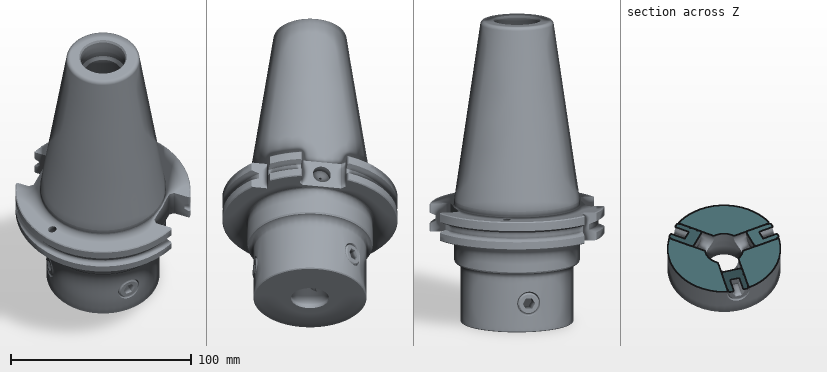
import cadquery as cq
import math

total_height = 170.6
gauge_z = 69.1
flange_top_z = 66.0
flange_bottom_z = 50.2
collar_bottom_z = 34.8

gauge_radius = 69.8 / 2
taper_slope = 7 / 48
taper_tip_radius = gauge_radius - (total_height - gauge_z) * taper_slope
tip_fillet = 2.2
flange_radius = 97.4 / 2
flange_chamfer = 0.5
flange_top_root_fillet = 0.7
flange_bottom_root_fillet = 0.9
collar_chamfer_width = 0.5
collar_chamfer_height = 0.9
shank_radius = 63.0 / 2
shank_chamfer = 0.5

groove_z = 57.8
groove_floor_radius = 45.4
groove_floor_width = 3.2
groove_mouth_width = 6.3

bore_radius = 10.5
relief_radius = 12.6
relief_end_depth = 12.0
bore_cone_depth = 13.0
counterbore_radius = 12.5
counterbore_depth = 8.5
mouth_chamfer_width = 0.7
mouth_chamfer_depth = 1.2

slot_width = 25.8
slot_floor_left = 37.2
slot_floor_right = 35.3
slot_corner_chamfer = 2.0
slot_edge_chamfer = 0.9
notch_x = -30.0
notch_y = 29.5

recess_z = (flange_top_z + flange_bottom_z) / 2
recess_diameter = 10.0
recess_depth = 4.6
recess_pilot_diameter = 1.4
recess_pilot_depth = 1.7

coolant_diameter = 4.5
coolant_circle_radius = 41.8
coolant_azimuths = (70, 250)
coolant_tilt = 30
coolant_length = 34.1

screw_azimuths = (90, 220, 320)
screw_z = 16.2
screw_diameter = 12.0
screw_face_radius = 31.4
screw_length = 15.4
screw_chamfer = 0.7
socket_across_flats = 6.0
socket_depth = 8.5
countersink_diameter = 13.6
countersink_depth = 2.0

cut_clearance = 3.4


def turned_body():
    """Taper, flange, collar and shank as one revolved solid."""
    neck_radius = gauge_radius - collar_chamfer_width
    neck_fillet = neck_radius - shank_radius
    neck_top_z = collar_bottom_z - collar_chamfer_height
    neck_bottom_z = neck_top_z - neck_fillet
    arc_offset = neck_fillet * math.sqrt(0.5)
    neck_arc_middle = (neck_radius - arc_offset, neck_bottom_z + arc_offset)

    profile = (
        cq.Workplane("XZ")
        .moveTo(0, 0)
        .lineTo(shank_radius - shank_chamfer, 0)
        .lineTo(shank_radius, shank_chamfer)
        .lineTo(shank_radius, neck_bottom_z)
        .threePointArc(neck_arc_middle, (neck_radius, neck_top_z))
        .lineTo(gauge_radius, collar_bottom_z)
        .lineTo(gauge_radius, flange_bottom_z)
        .lineTo(flange_radius, flange_bottom_z)
        .lineTo(flange_radius, flange_top_z)
        .lineTo(gauge_radius, flange_top_z)
        .lineTo(gauge_radius, gauge_z)
        .lineTo(taper_tip_radius, total_height)
        .lineTo(0, total_height)
        .close()
    )
    body = profile.revolve(360, (0, 0, 0), (0, 1, 0))
    return round_turned_edges(body)


def circle_edges(body, radius, z):
    """The circular edges of a body with the given radius, centred on the axis at height z."""
    tolerance = 0.002

    def matches(edge):
        centred = (edge.Center() - cq.Vector(0, 0, z)).Length < tolerance
        return edge.geomType() == "CIRCLE" and centred and abs(edge.radius() - radius) < tolerance

    return body.edges().filter(matches)


def round_turned_edges(body):
    """Round the taper tip and the flange roots, and chamfer the flange rim."""
    body = circle_edges(body, taper_tip_radius, total_height).fillet(tip_fillet)
    flange_faces = (
        (flange_bottom_z, flange_bottom_root_fillet),
        (flange_top_z, flange_top_root_fillet),
    )
    for z, root_fillet in flange_faces:
        body = circle_edges(body, gauge_radius, z).fillet(root_fillet)
        body = circle_edges(body, flange_radius, z).chamfer(flange_chamfer)
    return body


def gripper_groove():
    """Ring with a trapezoidal section that cuts the groove in the flange rim."""
    half_floor = groove_floor_width / 2
    half_mouth = groove_mouth_width / 2
    section = cq.Workplane("XZ").polyline([
        (groove_floor_radius, groove_z - half_floor),
        (flange_radius, groove_z - half_mouth),
        (flange_radius + cut_clearance, groove_z - half_mouth),
        (flange_radius + cut_clearance, groove_z + half_mouth),
        (flange_radius, groove_z + half_mouth),
        (groove_floor_radius, groove_z + half_floor),
    ]).close()
    return section.revolve(360, (0, 0, 0), (0, 1, 0))


def stepped_bore():
    """Through bore with a conical seat, a slightly wider relief and a counterbore at the taper end."""
    section = cq.Workplane("XZ").polyline([
        (0, 0),
        (bore_radius, 0),
        (bore_radius, total_height - bore_cone_depth),
        (relief_radius, total_height - relief_end_depth),
        (relief_radius, total_height - counterbore_depth),
        (counterbore_radius, total_height - counterbore_depth),
        (counterbore_radius, total_height - mouth_chamfer_depth),
        (counterbore_radius + mouth_chamfer_width, total_height),
        (0, total_height),
    ]).close()
    return section.revolve(360, (0, 0, 0), (0, 1, 0))


def flange_prism(sketch):
    """Extrude a closed horizontal outline through the flange thickness."""
    return sketch.extrude(flange_top_z - flange_bottom_z)


def drive_slot(floor_distance):
    """Cutter for a drive slot on the +X side, with chamfered floor corners and chamfered mouth edges."""
    half_width = slot_width / 2
    rim_x = math.sqrt(flange_radius**2 - half_width**2)
    chamfer_start_x = rim_x - slot_edge_chamfer
    outside_x = flange_radius + cut_clearance
    outside_y = half_width + outside_x - chamfer_start_x
    plane = cq.Workplane("XY", origin=(0, 0, flange_bottom_z))
    slot = flange_prism(plane.polyline([
        (floor_distance, -half_width),
        (chamfer_start_x, -half_width),
        (outside_x, -outside_y),
        (outside_x, outside_y),
        (chamfer_start_x, half_width),
        (floor_distance, half_width),
    ]).close())
    return slot.edges("|Z and <X").chamfer(slot_corner_chamfer)


def orientation_notch():
    """Cutter for the square-cornered notch in the -X +Y part of the rim."""
    size = flange_radius
    plane = cq.Workplane("XY", origin=(notch_x - size / 2, notch_y + size / 2, flange_bottom_z))
    return flange_prism(plane.rect(size, size))


def slot_recess():
    """Flat-bottomed round recess with a small pilot hole, bored into the -X slot floor."""
    floor = cq.Workplane("YZ", origin=(-slot_floor_left, 0, recess_z))
    recess = floor.circle(recess_diameter / 2).extrude(recess_depth)
    pilot = floor.circle(recess_pilot_diameter / 2).extrude(recess_depth + recess_pilot_depth)
    return recess.union(pilot)


def radial_point(radius, azimuth, z):
    """Point at a radius, azimuth in degrees and height."""
    angle = math.radians(azimuth)
    return cq.Vector(radius * math.cos(angle), radius * math.sin(angle), z)


def coolant_hole(azimuth):
    """Blind hole leaning inward as it goes down from the upper flange face."""
    tilt = math.radians(coolant_tilt)
    mouth = radial_point(coolant_circle_radius, azimuth, flange_top_z)
    direction = radial_point(-math.sin(tilt), azimuth, -math.cos(tilt))
    start = mouth - direction * cut_clearance
    hole = cq.Solid.makeCylinder(coolant_diameter / 2, coolant_length + cut_clearance, start, direction)
    return cq.Workplane(hole)


def screw_plane(azimuth, radius):
    """Workplane facing outward along a screw axis, with its local X horizontal."""
    outward = radial_point(1, azimuth, 0)
    horizontal = radial_point(1, azimuth + 90, 0)
    return cq.Workplane(cq.Plane(radial_point(radius, azimuth, screw_z), horizontal, outward))


def screw_hole(azimuth):
    """Hole from the shank surface to the bore, countersunk at its mouth."""
    hole = screw_plane(azimuth, 0).circle(screw_diameter / 2).extrude(shank_radius)
    seat = (
        screw_plane(azimuth, shank_radius - countersink_depth)
        .circle(screw_diameter / 2)
        .workplane(offset=countersink_depth)
        .circle(countersink_diameter / 2)
        .loft()
    )
    return hole.union(seat)


def set_screw(azimuth):
    """Set screw with a hexagon socket in its outer face."""
    socket_corners = socket_across_flats / math.cos(math.radians(30))
    face = screw_plane(azimuth, screw_face_radius)
    screw = face.circle(screw_diameter / 2).extrude(-screw_length)
    screw = screw.edges("%CIRCLE").chamfer(screw_chamfer)
    return screw.cut(face.polygon(6, socket_corners).extrude(-socket_depth))


def tool_holder():
    """Turned body with its groove, bore, slots, notch and holes cut out."""
    body = turned_body()
    body = body.cut(gripper_groove())
    body = body.cut(stepped_bore())
    body = body.cut(drive_slot(slot_floor_right))
    body = body.cut(drive_slot(slot_floor_left).rotate((0, 0, 0), (0, 0, 1), 180))
    body = body.cut(orientation_notch())
    body = body.cut(slot_recess())
    for azimuth in coolant_azimuths:
        body = body.cut(coolant_hole(azimuth))
    for azimuth in screw_azimuths:
        body = body.cut(screw_hole(azimuth))
    return body


holder = tool_holder()
screws = [set_screw(azimuth) for azimuth in screw_azimuths]

result = cq.Compound.makeCompound([holder.val(), *[screw.val() for screw in screws]])